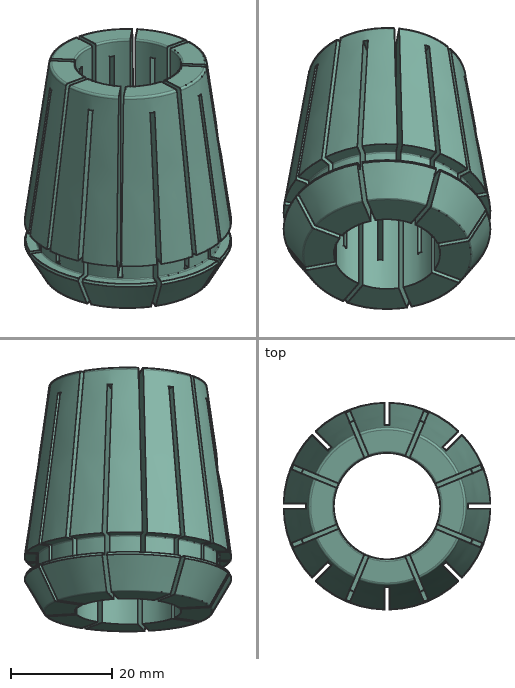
import cadquery as cq
import math

height = 46.0
outer_diameter = 41.0
max_radius = outer_diameter / 2
bore_radius = 21.0 / 2
long_cone_angle = 8.0
nose_angle = 30.0

rim_edge_z = 6.6
groove_bottom_z = 7.15
groove_top_z = 11.1
groove_radius = 18.12
groove_fillet = 0.2
rim_top_radius = 20.25

nose_fillet = 0.28
top_fillet = 0.5
bore_fillet = 0.35

slots_per_set = 8
slot_pitch = 360 / slots_per_set
slot_width = 0.95
blade_length = 45.1
lower_slot_top_z = 42.45
upper_slot_floor_z = 7.55

nose_radius = max_radius - rim_edge_z * math.tan(math.radians(nose_angle))
cone_slope = math.tan(math.radians(long_cone_angle))
top_radius = max_radius - (height - groove_top_z) * cone_slope


def make_body():
    """Revolve the half section: nose cone, groove, long cone and bore."""
    section = (
        cq.Workplane("XZ")
        .moveTo(bore_radius, 0)
        .lineTo(nose_radius, 0)
        .lineTo(max_radius, rim_edge_z)
        .lineTo(rim_top_radius, groove_bottom_z)
        .lineTo(groove_radius + groove_fillet, groove_bottom_z)
        .radiusArc((groove_radius, groove_bottom_z + groove_fillet), groove_fillet)
        .lineTo(groove_radius, groove_top_z - groove_fillet)
        .radiusArc((groove_radius + groove_fillet, groove_top_z), groove_fillet)
        .lineTo(max_radius, groove_top_z)
        .lineTo(top_radius, height)
        .lineTo(bore_radius + bore_fillet, height)
        .radiusArc((bore_radius, height - bore_fillet), -bore_fillet)
        .close()
    )
    body = section.revolve(360, (0, 0), (0, 1))
    outermost_edge = cq.selectors.RadiusNthSelector(-1)
    body = body.faces(">Z").edges(outermost_edge).fillet(top_fillet)
    return body.faces("<Z").edges(outermost_edge).fillet(nose_fillet)


def make_slots(bottom_z, top_z, first_angle):
    """Blades across the axis, turned evenly around it to cut one set of slots."""
    blade = (
        cq.Workplane("XY", origin=(0, 0, bottom_z))
        .rect(blade_length, slot_width)
        .extrude(top_z - bottom_z)
    )
    slots = blade.rotate((0, 0, 0), (0, 0, 1), first_angle)
    for i in range(1, slots_per_set // 2):
        slots = slots.union(blade.rotate((0, 0, 0), (0, 0, 1), first_angle + i * slot_pitch))
    return slots


lower_slots = make_slots(0, lower_slot_top_z, 0)
upper_slots = make_slots(upper_slot_floor_z, height, slot_pitch / 2)

result = make_body().cut(lower_slots).cut(upper_slots)